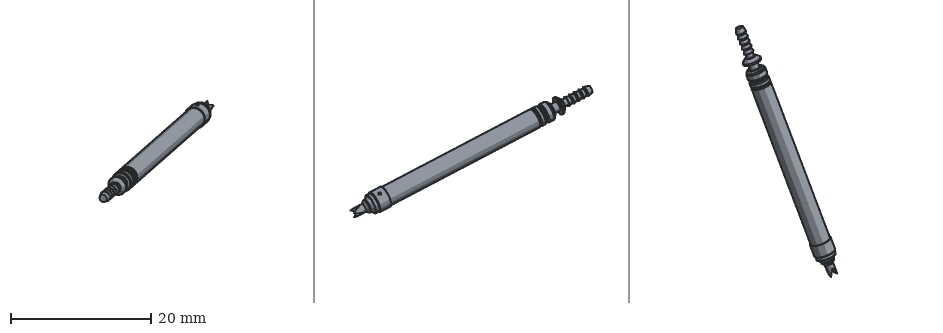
import cadquery as cq
import math

total_length = 40.0

stem_radius = 0.55
barb_radius = 0.75
barb_count = 5
barb_pitch = 0.8
barb_taper_length = 0.55

flange_cone_start = 4.7
flange_cone_end = 5.25
flange_end = 5.5
flange_cone_radius = 0.8
flange_radius = 1.35
neck_radius = 0.7

barrel_radius = 1.5
barrel_start = 6.55
end_face_radius = 1.1
end_bevel_radius = 1.35
end_bevel_length = 0.25
v_groove_start = 7.8
v_groove_end = 8.5
v_groove_floor = 0.2
v_groove_depth = 0.1
narrow_groove_start = 8.95
narrow_groove_slope_length = 0.2
narrow_groove_end = 9.35
narrow_groove_depth = 0.1

collar_radius = 1.6
collar_start = 34.5
collar_end = 36.3
shoulder_end = 36.95
nose_base_radius = 1.3
nose_step_start = 37.5
nose_step_end = 37.7
nose_step_radius = 1.0

plunger_radius = 0.65
plunger_start = 38.1
crown_points = 3
crown_center_depth = 0.65
crown_rim_depth = 1.25

hole_radius = 0.2
hole_depth = 0.2
hole_y = 35.5


def barb_outline():
    """(radius, y) points of the barbs; each one widens toward +Y and ends in a square step."""
    points = []
    for index in range(barb_count):
        step_y = (index + 1) * barb_pitch
        taper = barb_pitch if index == 0 else barb_taper_length
        points.append((stem_radius, step_y - taper))
        points.append((barb_radius, step_y))
        points.append((stem_radius, step_y))
    return points


def turned_body():
    """Revolve the half outline, from the barb end to the plunger tip."""
    v_groove_run = (v_groove_end - v_groove_start - v_groove_floor) / 2
    v_groove_radius = barrel_radius - v_groove_depth
    narrow_groove_radius = barrel_radius - narrow_groove_depth
    collar_chamfer = collar_radius - barrel_radius

    outline = (
        cq.Workplane("XY")
        .moveTo(0, 0)
        .polyline(barb_outline(), includeCurrent=True)
        .lineTo(stem_radius, flange_cone_start)
        .lineTo(flange_cone_radius, flange_cone_start)
        .lineTo(flange_radius, flange_cone_end)
        .lineTo(flange_radius, flange_end)
        .lineTo(neck_radius, flange_end)
        .lineTo(neck_radius, barrel_start)
        .lineTo(end_face_radius, barrel_start)
        .lineTo(end_bevel_radius, barrel_start + end_bevel_length)
        .lineTo(barrel_radius, barrel_start + 2 * end_bevel_length)
        .lineTo(barrel_radius, v_groove_start)
        .lineTo(v_groove_radius, v_groove_start + v_groove_run)
        .lineTo(v_groove_radius, v_groove_end - v_groove_run)
        .lineTo(barrel_radius, v_groove_end)
        .lineTo(barrel_radius, narrow_groove_start)
        .lineTo(narrow_groove_radius, narrow_groove_start + narrow_groove_slope_length)
        .lineTo(narrow_groove_radius, narrow_groove_end)
        .lineTo(barrel_radius, narrow_groove_end)
        .lineTo(barrel_radius, collar_start)
        .lineTo(collar_radius, collar_start)
        .lineTo(collar_radius, collar_end)
        .lineTo(barrel_radius, collar_end + collar_chamfer)
        .lineTo(barrel_radius, shoulder_end)
        .lineTo(nose_base_radius, shoulder_end)
        .lineTo(nose_step_radius, nose_step_start)
        .lineTo(nose_step_radius, nose_step_end)
        .lineTo(plunger_radius, plunger_start)
        .lineTo(plunger_radius, total_length)
        .lineTo(0, total_length)
        .close()
    )
    return outline.revolve(360, (0, 0, 0), (0, 1, 0))


def crown_groove():
    """V-shaped cutter running from the axis toward -X and dropping to the rim."""
    half_angle = math.pi / crown_points
    point_reach = plunger_radius * math.cos(half_angle)
    point_offset = plunger_radius * math.sin(half_angle)
    floor_slope = (crown_rim_depth - crown_center_depth) / plunger_radius
    flank_slope = (crown_center_depth + floor_slope * point_reach) / point_offset

    run = 2 * plunger_radius
    rise = 2 * crown_rim_depth + floor_slope * run
    half_width = rise / flank_slope
    floor_y = total_length - crown_center_depth
    section = cq.Wire.makePolygon(
        [
            cq.Vector(0, floor_y, 0),
            cq.Vector(0, floor_y + rise, half_width),
            cq.Vector(0, floor_y + rise, -half_width),
        ],
        close=True,
    )
    sweep = cq.Vector(-run, -floor_slope * run, 0)
    return cq.Workplane(obj=cq.Solid.extrudeLinear(section, [], sweep))


def collar_hole():
    """Cutter for the shallow hole entering the collar from +Z."""
    return (
        cq.Workplane("XY", origin=(0, hole_y, collar_radius - hole_depth))
        .circle(hole_radius)
        .extrude(2 * hole_depth)
    )


result = turned_body()
groove = crown_groove()
for index in range(crown_points):
    angle = index * 360 / crown_points
    result = result.cut(groove.rotate((0, 0, 0), (0, 1, 0), angle))
result = result.cut(collar_hole())